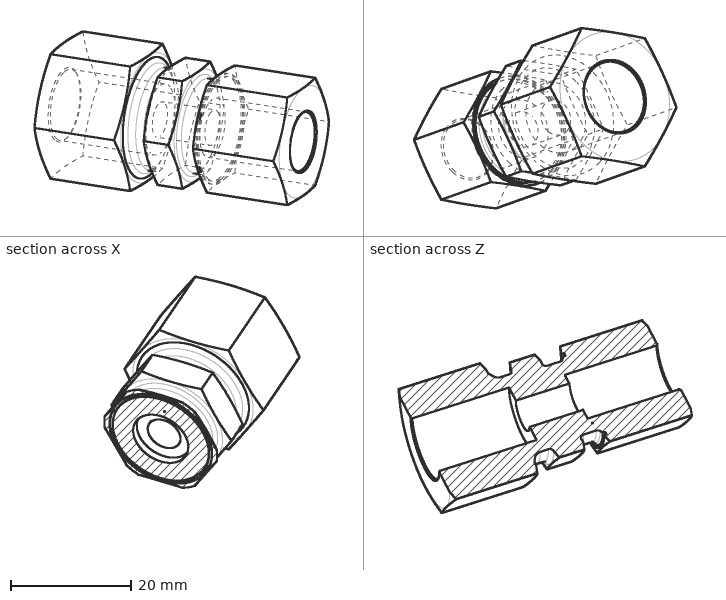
import cadquery as cq
import math

length = 44.0

large_flats = 22.0
small_flats = 19.0
large_nut_end = 15.58
body_hex_start = 19.35
body_hex_end = 24.7
small_nut_start = 28.42
corner_chamfer_angle = 15.0

flare_angle = 60.0
large_neck_diameter = 17.4
large_rim_diameter = 20.5
large_cone_length = 0.55
large_neck_fillet = 0.65
small_neck_diameter = 16.0
small_rim_diameter = 17.65
small_cone_length = 0.285
small_neck_fillet = 0.6

groove_diameter = 18.65
groove_depth = 0.45

through_diameter = 6.0
large_tube_diameter = 12.0
small_tube_diameter = 10.0
large_tube_depth = 17.6
small_tube_depth = 16.7
mouth_chamfer = 0.25


def revolve_about_x(profile):
    """Turn a closed profile of axial position and radius about X."""
    return profile.close().revolve(360, (0, 0, 0), (1, 0, 0))


def chamfered_hexagon(start, end, flats):
    """Hexagon with corners along Y and conical chamfers meeting its flats."""
    flat_radius = flats / 2
    corner_radius = flat_radius / math.cos(math.radians(30))
    drop = (corner_radius - flat_radius) * math.tan(math.radians(corner_chamfer_angle))
    hexagon = (
        cq.Workplane("YZ", origin=(start, 0, 0))
        .polygon(6, 2 * corner_radius)
        .extrude(end - start)
    )
    envelope = revolve_about_x(
        cq.Workplane("XY")
        .moveTo(start, 0)
        .lineTo(start, flat_radius)
        .lineTo(start + drop, corner_radius)
        .lineTo(end - drop, corner_radius)
        .lineTo(end, flat_radius)
        .lineTo(end, 0)
    )
    return hexagon.intersect(envelope)


def flared_neck(rim, hex_face, diameter, rim_diameter, cone_length, hex_fillet):
    """Neck from a conical flare at rim to a concave fillet at hex_face.

    The cone descends from the rim and a tangent arc blends it into the neck.
    """
    direction = math.copysign(1, hex_face - rim)
    radius = diameter / 2
    rim_radius = rim_diameter / 2
    slope = math.radians(flare_angle)

    cone_end_radius = rim_radius - cone_length * math.tan(slope)
    blend = (cone_end_radius - radius) / (1 - math.cos(slope))
    blend_end = rim + direction * (cone_length + blend * math.sin(slope))
    blend_middle = (
        blend_end - direction * blend * math.sin(slope / 2),
        radius + blend * (1 - math.cos(slope / 2)),
    )
    fillet_inset = hex_fillet * (1 - math.sqrt(0.5))

    return revolve_about_x(
        cq.Workplane("XY")
        .moveTo(rim, 0)
        .lineTo(rim, rim_radius)
        .lineTo(rim + direction * cone_length, cone_end_radius)
        .threePointArc(blend_middle, (blend_end, radius))
        .lineTo(hex_face - direction * hex_fillet, radius)
        .threePointArc(
            (hex_face - direction * fillet_inset, radius + fillet_inset),
            (hex_face, radius + hex_fillet),
        )
        .lineTo(hex_face, 0)
    )


def tube_socket(mouth, direction, diameter, depth):
    """Blind socket with a chamfered mouth, running from mouth along direction."""
    radius = diameter / 2
    bottom = mouth + direction * depth
    return revolve_about_x(
        cq.Workplane("XY")
        .moveTo(mouth, 0)
        .lineTo(mouth, radius + mouth_chamfer)
        .lineTo(mouth + direction * mouth_chamfer, radius)
        .lineTo(bottom, radius)
        .lineTo(bottom, 0)
    )


large_nut = chamfered_hexagon(0, large_nut_end, large_flats)
body_hex = chamfered_hexagon(body_hex_start, body_hex_end, small_flats)
small_nut = chamfered_hexagon(small_nut_start, length, small_flats)
large_neck = flared_neck(
    large_nut_end,
    body_hex_start,
    large_neck_diameter,
    large_rim_diameter,
    large_cone_length,
    large_neck_fillet,
)
small_neck = flared_neck(
    small_nut_start,
    body_hex_end,
    small_neck_diameter,
    small_rim_diameter,
    small_cone_length,
    small_neck_fillet,
)
face_groove = (
    cq.Workplane("YZ", origin=(small_nut_start, 0, 0))
    .circle(groove_diameter / 2)
    .circle(small_rim_diameter / 2)
    .extrude(groove_depth)
)
through_bore = cq.Workplane("YZ").circle(through_diameter / 2).extrude(length)

result = (
    large_nut.union(large_neck)
    .union(body_hex)
    .union(small_neck)
    .union(small_nut)
    .cut(face_groove)
    .cut(through_bore)
    .cut(tube_socket(0, 1, large_tube_diameter, large_tube_depth))
    .cut(tube_socket(length, -1, small_tube_diameter, small_tube_depth))
)